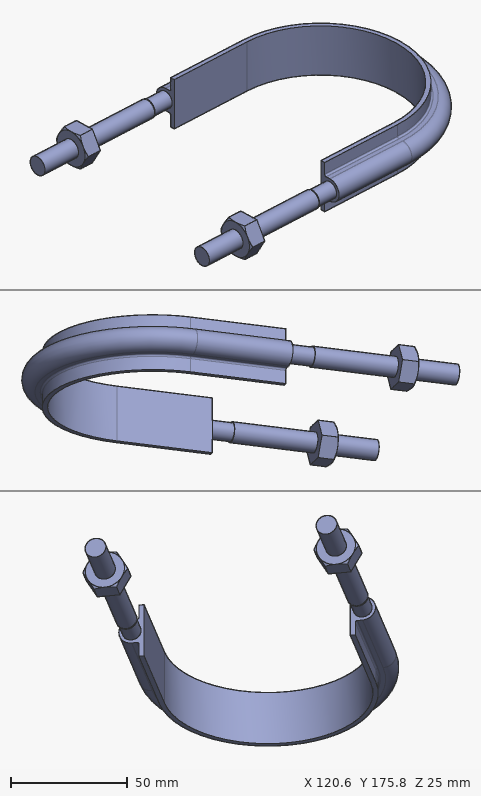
import cadquery as cq
import math

overall_length = 175.8
leg_offset = 50.5
neck_diameter = 8.3
thread_diameter = 9.1
thread_length = 65.7

band_width = 25.0
band_inner_radius = 45.0
band_outer_radius = 47.3
bulge_radius = 5.6
root_fillet = 0.9
sleeve_length_below_bend = 43.5

nut_across_flats = 17.0
nut_thickness = 7.9
nut_chamfer_angle = 30.0
rod_beyond_nut = 20.0

bend_y = overall_length - leg_offset - bulge_radius
sleeve_end_y = bend_y - sleeve_length_below_bend
nut_across_corners = nut_across_flats / math.cos(math.radians(30))
leg_positions = (-leg_offset, leg_offset)


def leg_cylinder(x, diameter, start_y, length):
    """Round bar parallel to Y, from start_y towards +Y."""
    return cq.Workplane("XZ", origin=(x, start_y, 0)).circle(diameter / 2).extrude(-length)


def sleeve_section():
    """Cross-section of the sleeve on its +X side, in the XZ plane at the start of the bend."""
    half_width = band_width / 2
    fillet_z = bulge_radius + root_fillet
    flank_x = band_outer_radius + root_fillet
    fillet_mid = root_fillet * (1 - math.sqrt(0.5))
    mid_x = band_outer_radius + fillet_mid
    mid_z = bulge_radius + fillet_mid
    return (
        cq.Workplane("XZ", origin=(0, bend_y, 0))
        .moveTo(band_inner_radius, -half_width)
        .lineTo(band_outer_radius, -half_width)
        .lineTo(band_outer_radius, -fillet_z)
        .threePointArc((mid_x, -mid_z), (flank_x, -bulge_radius))
        .lineTo(leg_offset, -bulge_radius)
        .threePointArc((leg_offset + bulge_radius, 0), (leg_offset, bulge_radius))
        .lineTo(flank_x, bulge_radius)
        .threePointArc((mid_x, mid_z), (band_outer_radius, fillet_z))
        .lineTo(band_outer_radius, half_width)
        .lineTo(band_inner_radius, half_width)
        .close()
    )


def rod_section():
    """Cross-section of the plain rod at the +X start of the bend."""
    return cq.Workplane("XZ", origin=(0, bend_y, 0)).moveTo(leg_offset, 0).circle(neck_diameter / 2)


def u_shape(section, end_y):
    """Carry the profile drawn by section() half a turn around the bend and straight down both legs to end_y."""
    bend = section().revolve(180, (0, 0, 0), (0, 1, 0))
    straight = section().extrude(bend_y - end_y)
    return bend.union(straight).union(straight.mirror("YZ"))


def make_u_bolt():
    bolt = u_shape(rod_section, thread_length)
    for x in leg_positions:
        bolt = bolt.union(leg_cylinder(x, thread_diameter, 0, thread_length))
    return bolt


def make_sleeve():
    channel = u_shape(rod_section, sleeve_end_y)
    return u_shape(sleeve_section, sleeve_end_y).cut(channel)


def make_nut(x):
    """Hexagon nut with its corners along X and a chamfered face towards the rod end."""
    hexagon = (
        cq.Workplane("XZ", origin=(x, rod_beyond_nut, 0))
        .polygon(6, nut_across_corners)
        .extrude(-nut_thickness)
    )
    face_radius = nut_across_flats / 2
    trim_radius = nut_across_corners
    cone_depth = (trim_radius - face_radius) * math.tan(math.radians(nut_chamfer_angle))
    corner_trim = (
        cq.Workplane("XY", origin=(x, rod_beyond_nut, 0))
        .polyline([
            (0, 0),
            (face_radius, 0),
            (trim_radius, cone_depth),
            (trim_radius, nut_thickness),
            (0, nut_thickness),
        ])
        .close()
        .revolve(360, (0, 0, 0), (0, 1, 0))
    )
    bore = leg_cylinder(x, thread_diameter, rod_beyond_nut, nut_thickness)
    return hexagon.intersect(corner_trim).cut(bore)


u_bolt = make_u_bolt()
sleeve = make_sleeve()
nuts = [make_nut(x).val() for x in leg_positions]

result = cq.Compound.makeCompound([u_bolt.val(), sleeve.val(), *nuts])